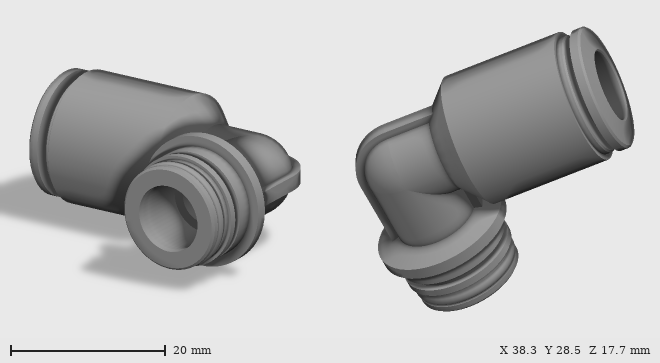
import cadquery as cq


body_radius = 17.7 / 2
tube_end = 38.32 - body_radius
spigot_end = 28.45 - body_radius

elbow_radius = 10.92 / 2
passage_radius = 6.5 / 2
rib_reach = 6.45
rib_thickness = 2.0

tube_bore_radius = 9.55 / 2
tube_bore_depth = 17.25
collar_face_radius = 5
collar_cone_radius = 16.2 / 2
collar_radius = 16.8 / 2
collar_cone_length = 0.55
collar_chamfer = collar_radius - collar_cone_radius
collar_length = 1.95
neck_flare = 0.23
neck_flare_length = 0.35
ring_radius = 16.2 / 2
ring_start = 2.95
ring_chamfer = 0.23
body_start = 3.95
taper_start = 20.15
taper_length = body_radius - elbow_radius

spigot_bore_radius = 9.0 / 2
spigot_bore_depth = 8.43
cone_start = 9.3
flange_start = 10.27
flange_end = 11.85
shank_radius = 14.95 / 2
groove_radius = 13.15 / 2
groove_start = 14.1
groove_end = 15.17
land_end = 16.15
tip_radius = 14.0 / 2
tip_chamfer = 0.3
seal_radius = 14.25 / 2
seal_start = 16.82
seal_width = 1.72


def tube_arm():
    """Tube arm revolved about the X axis; t is measured from the open end."""
    profile = [
        (0, 0),
        (0, collar_face_radius),
        (collar_cone_length, collar_cone_radius),
        (collar_cone_length + collar_chamfer, collar_radius),
        (collar_length, collar_radius),
        (collar_length, elbow_radius + neck_flare),
        (collar_length + neck_flare_length, elbow_radius),
        (ring_start, elbow_radius),
        (ring_start, ring_radius - ring_chamfer),
        (ring_start + ring_chamfer, ring_radius),
        (body_start, ring_radius),
        (body_start, body_radius),
        (taper_start, body_radius),
        (taper_start + taper_length, elbow_radius),
        (tube_end, elbow_radius),
        (tube_end, 0),
    ]
    outline = cq.Workplane("XY").polyline([(t - tube_end, r) for t, r in profile]).close()
    return outline.revolve(360, (0, 0, 0), (1, 0, 0))


def spigot_arm():
    """Spigot arm revolved about the Y axis, with the O-ring as a half-round bead."""
    seal_core_radius = seal_radius - seal_width / 2
    seal_end = seal_start + seal_width
    outline = (
        cq.Workplane("XY")
        .lineTo(elbow_radius, 0)
        .lineTo(elbow_radius, -cone_start)
        .lineTo(body_radius, -flange_start)
        .lineTo(body_radius, -flange_end)
        .lineTo(shank_radius, -flange_end)
        .lineTo(shank_radius, -groove_start)
        .lineTo(groove_radius, -groove_start)
        .lineTo(groove_radius, -groove_end)
        .lineTo(shank_radius, -groove_end)
        .lineTo(shank_radius, -land_end)
        .lineTo(tip_radius, -land_end)
        .lineTo(tip_radius, -seal_start)
        .lineTo(seal_core_radius, -seal_start)
        .threePointArc((seal_radius, -(seal_start + seal_end) / 2), (seal_core_radius, -seal_end))
        .lineTo(tip_radius, -seal_end)
        .lineTo(tip_radius, -(spigot_end - tip_chamfer))
        .lineTo(tip_radius - tip_chamfer, -spigot_end)
        .lineTo(0, -spigot_end)
        .close()
    )
    return outline.revolve(360, (0, 0, 0), (0, 1, 0))


def rib():
    """Flat web in the plane of both axes, rounded round the outside of the elbow."""
    web_left = -(tube_end - taper_start)
    web_bottom = -flange_start
    web = (
        cq.Workplane("XY")
        .moveTo(web_left, rib_reach)
        .lineTo(0, rib_reach)
        .radiusArc((rib_reach, 0), rib_reach)
        .lineTo(rib_reach, web_bottom)
        .lineTo(-rib_reach, web_bottom)
        .lineTo(-rib_reach, -rib_reach)
        .lineTo(web_left, -rib_reach)
        .close()
    )
    return web.extrude(rib_thickness / 2, both=True)


def bore(plane, radius, start, depth):
    """Cylinder for a bore, starting at a distance from the centre along the plane's normal."""
    return cq.Workplane(plane).workplane(offset=start).circle(radius).extrude(depth)


def mouth_bevel():
    """45 degree lead-in that opens the tube socket out to the collar face."""
    bevel = collar_face_radius - tube_bore_radius
    outline = (
        cq.Workplane("XY")
        .moveTo(-tube_end, 0)
        .lineTo(-tube_end, collar_face_radius)
        .lineTo(bevel - tube_end, tube_bore_radius)
        .lineTo(bevel - tube_end, 0)
        .close()
    )
    return outline.revolve(360, (0, 0, 0), (1, 0, 0))


def passages():
    """Two meeting passages with a spherical bend, and a socket at each open end."""
    return (
        cq.Workplane("XY").sphere(passage_radius)
        .union(bore("YZ", passage_radius, 0, -tube_end))
        .union(bore("XZ", passage_radius, 0, spigot_end))
        .union(bore("YZ", tube_bore_radius, -tube_end, tube_bore_depth))
        .union(bore("XZ", spigot_bore_radius, spigot_end, -spigot_bore_depth))
        .union(mouth_bevel())
    )


elbow = cq.Workplane("XY").sphere(elbow_radius)
result = tube_arm().union(spigot_arm()).union(elbow).union(rib()).cut(passages())